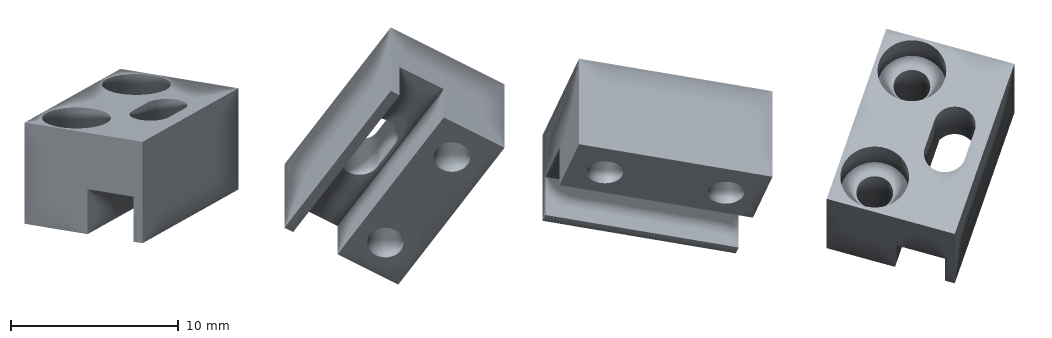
import cadquery as cq

width = 8.0
length = 12.0
height = 6.35

hole_diameter = 2.2
counterbore_diameter = 4.1
counterbore_depth = 2.0
hole_x = 2.3
hole_spacing = 7.5

channel_width = 3.12
channel_height = 2.82
side_wall = 0.61
channel_x = width - side_wall - channel_width / 2

slot_width = 2.5
slot_length = 4.5


def make_block():
    return cq.Workplane("XY").box(width, length, height, centered=False)


def cut_channel(body):
    channel = (
        cq.Workplane("XY")
        .center(channel_x, length / 2)
        .rect(channel_width, length)
        .extrude(channel_height)
    )
    return body.cut(channel)


def cut_screw_holes(body):
    hole_centers = [(hole_x, length / 2 + side * hole_spacing / 2) for side in (-1, 1)]
    return (
        body.faces(">Z")
        .workplane(origin=(0, 0, height))
        .pushPoints(hole_centers)
        .cboreHole(hole_diameter, counterbore_diameter, counterbore_depth)
    )


def cut_slot(body):
    slot = (
        cq.Workplane("XY")
        .center(channel_x, length / 2)
        .slot2D(slot_length, slot_width, 90)
        .extrude(height)
    )
    return body.cut(slot)


result = cut_slot(cut_screw_holes(cut_channel(make_block()))).val()